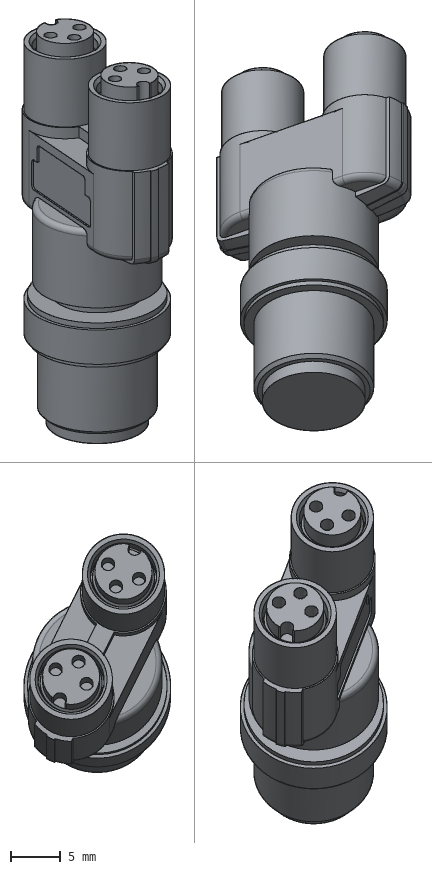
import cadquery as cq
import math

total_height = 41.1
total_width = 21.65
socket_offset = 6.05

spigot_radius = 5.18
plug_radius = 6.05
plug_bottom = 1.35
plug_chamfer = 0.35
nut_radius = 7.4
nut_shoulder_radius = 7.03
nut_bottom = 9.4
nut_top = 14.35
nut_lower_shoulder = 0.5
nut_upper_shoulder = 0.6
neck_radius = 4.65
barrel_radius = 6.55
barrel_bottom = 15.8
barrel_top = 24.37
barrel_fillet = 0.6

lobe_radius = 4.3
yoke_bottom = 22.25
yoke_top = 32.4
yoke_fillet = 0.65
deck_drop = 1.25
web_width = 1.97

rib_slope = 0.16
rib_root = 0.82
wide_rib_radius = 4.65
wide_rib_width = 4.1
wide_rib_low = 21.3
wide_rib_fillet = 0.8
narrow_rib_radius = total_width / 2 - socket_offset
narrow_rib_width = 0.9
narrow_rib_low = 21.15
narrow_rib_fillet = 0.85

label_bottom = 24.85
label_step = 28.2
label_top = 30.15
label_lower_width = 11.0
label_upper_width = 8.95
label_depth = 0.2
label_corner = 0.4

sleeve_radius = 4.15
sleeve_top = 39.95
bore_lip_radius = 3.6
bore_radius = 3.33
bore_lip_depth = 0.4
bore_depth = 2.45
insert_radius = 2.88
base_radius = 3.12
base_drop = 1.03
pin_hole_radius = 0.65
pin_circle_radius = 1.73
pin_hole_depth = 2.05
key_flat_offset = 2.75
key_groove_offset = 2.6


def cylinder(radius, bottom, top, x=0.0, y=0.0):
    """Upright cylinder between two heights."""
    return cq.Workplane("XY", origin=(x, y, bottom)).circle(radius).extrude(top - bottom)


def block(x_size, y_size, bottom, top, x=0.0):
    """Upright box centred on y = 0."""
    return cq.Workplane("XY", origin=(x, 0, bottom)).rect(x_size, y_size).extrude(top - bottom)


def make_plug():
    spigot = cylinder(spigot_radius, 0, plug_bottom)
    plug = cylinder(plug_radius, plug_bottom, nut_bottom).faces("<Z").chamfer(plug_chamfer)
    shoulders = cylinder(nut_shoulder_radius, nut_bottom, nut_top)
    nut = cylinder(nut_radius, nut_bottom + nut_lower_shoulder, nut_top - nut_upper_shoulder)
    neck = cylinder(neck_radius, nut_top, barrel_bottom)
    barrel = cylinder(barrel_radius, barrel_bottom, barrel_top).faces(">Z").edges().fillet(barrel_fillet)
    return spigot.union(plug).union(shoulders).union(nut).union(neck).union(barrel)


def make_half_yoke():
    """Half of the yoke on the +X side of the centre plane."""
    deck = yoke_top - deck_drop
    body = (
        cq.Workplane("XY", origin=(0, 0, yoke_bottom))
        .moveTo(0, -lobe_radius)
        .lineTo(socket_offset, -lobe_radius)
        .threePointArc((socket_offset + lobe_radius, 0), (socket_offset, lobe_radius))
        .lineTo(0, lobe_radius)
        .close()
        .extrude(deck - yoke_bottom)
        .faces("<Z").edges("not <X").fillet(yoke_fillet)
    )
    web = block(socket_offset, web_width, deck, yoke_top, socket_offset / 2)
    lobe = cylinder(lobe_radius, deck, yoke_top, socket_offset)
    return body.union(web).union(lobe)


def make_rib(radius, width, low, fillet):
    """Cone-bottomed disc about a socket axis, trimmed to a strip running outward."""
    disc = (
        cq.Workplane("XZ")
        .moveTo(0, low)
        .lineTo(radius, low + rib_slope * radius)
        .lineTo(radius, yoke_top)
        .lineTo(0, yoke_top)
        .close()
        .revolve(360, (0, 0), (0, 1))
        .edges("%CIRCLE").edges("<Z").fillet(fillet)
        .translate((socket_offset, 0, 0))
    )
    length = radius + rib_root
    strip_center = socket_offset + radius - length / 2
    return disc.intersect(block(length, width, low, yoke_top, strip_center))


def make_label_recess():
    lower = label_lower_width / 2
    upper = label_upper_width / 2
    outline = [
        (-lower, label_bottom), (lower, label_bottom), (lower, label_step), (upper, label_step),
        (upper, label_top), (-upper, label_top), (-upper, label_step), (-lower, label_step),
    ]
    recess = cq.Workplane("XZ", origin=(0, -lobe_radius, 0)).polyline(outline).close().extrude(-label_depth)
    outer_corners = recess.edges("|Y and (<X or >X or >Z)")
    return outer_corners.fillet(label_corner)


def make_sleeve():
    """Tube with a flared lip."""
    bore = cylinder(bore_radius, sleeve_top - bore_depth, sleeve_top, socket_offset)
    lip = (
        cq.Workplane("XY", origin=(socket_offset, 0, sleeve_top - bore_lip_depth)).circle(bore_radius)
        .workplane(offset=bore_lip_depth).circle(bore_lip_radius).loft()
    )
    return cylinder(sleeve_radius, yoke_top, sleeve_top, socket_offset).cut(bore).cut(lip)


def make_insert():
    """Contact carrier with three pin holes, a keying flat and groove, and a chamfered round base."""
    base_top = sleeve_top - base_drop
    stem = cylinder(insert_radius, base_top, total_height, socket_offset)
    flat_depth = insert_radius - key_flat_offset
    flat_center = socket_offset + key_flat_offset + flat_depth / 2
    stem = stem.cut(block(flat_depth, 2 * insert_radius, base_top, total_height, flat_center))
    stem = stem.cut(cylinder(pin_hole_radius, base_top, total_height, socket_offset + key_groove_offset))

    base = cylinder(base_radius, sleeve_top - bore_depth, base_top, socket_offset)
    insert = base.faces(">Z").chamfer(base_radius - insert_radius).union(stem)

    hole_bottom = total_height - pin_hole_depth
    for angle in (90, 180, 270):
        x = socket_offset + pin_circle_radius * math.cos(math.radians(angle))
        y = pin_circle_radius * math.sin(math.radians(angle))
        insert = insert.cut(cylinder(pin_hole_radius, hole_bottom, total_height, x, y))
    return insert


wide_rib = make_rib(wide_rib_radius, wide_rib_width, wide_rib_low, wide_rib_fillet)
narrow_rib = make_rib(narrow_rib_radius, narrow_rib_width, narrow_rib_low, narrow_rib_fillet)
ribs = wide_rib.union(narrow_rib)
arm = make_half_yoke().union(ribs).union(make_sleeve()).union(make_insert())
both_arms = arm.union(arm.mirror("YZ"))

result = both_arms.union(make_plug()).cut(make_label_recess())